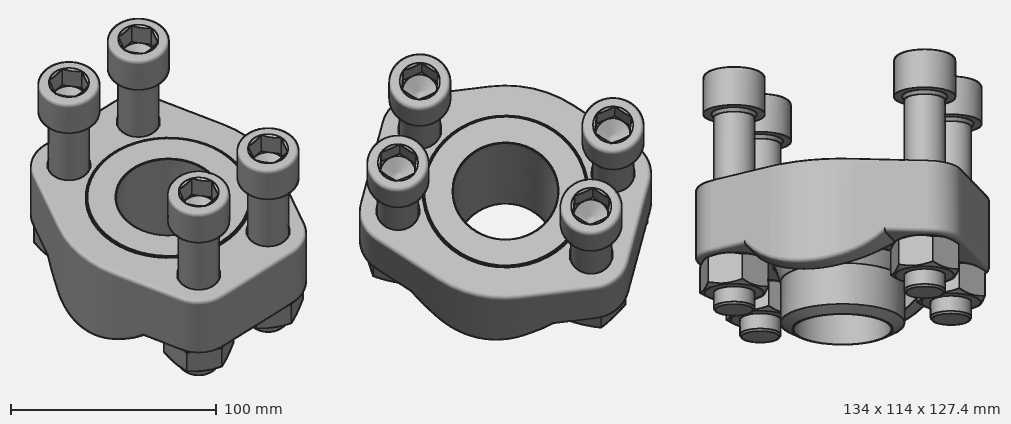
import cadquery as cq
import math


RIM_CHAMFER = 0.34

CHAMFER_SLOPE = math.tan(math.radians(30))

BOLT_X = 48.4
BOLT_Y = 22.2
BOLT_POSITIONS = [(sx * BOLT_X, sy * BOLT_Y) for sx in (-1, 1) for sy in (-1, 1)]

HALF_LENGTH = 67.0
WAIST_DIAMETER = 114.0
WAIST_RADIUS = WAIST_DIAMETER / 2
CORNER_RADIUS = HALF_LENGTH - BOLT_X
EAR_THICKNESS = 37.0
LOBE_DEPTH = 52.4
LOBE_RADIUS = 48.2
FLANGE_ROUND = 2.0
BOLT_HOLE_DIAMETER = 21.0
HEAD_SEAT_DIAMETER = 80.1
HEAD_SEAT_DEPTH = 12.7
NECK_HOLE_DIAMETER = 67.5
RECESS_DIAMETER = 90.9

SLEEVE_TOP = 0.5
HEAD_DIAMETER = 79.5
NECK_DIAMETER = 66.3
NECK_BOTTOM = -EAR_THICKNESS
TUBE_TOP = -45.3
TUBE_DIAMETER = 60.3
TUBE_BOTTOM = -69.4
BEVEL_HEIGHT = 3.2
BEVEL_INSET = 5.6
BORE_DIAMETER = 47.7
MOUTH_DIAMETER = 51.0
MOUTH_DEPTH = 6.0

SHANK_DIAMETER = 20.0
SHANK_LENGTH = 100.0
BOLT_HEAD_DIAMETER = 30.0
BOLT_HEAD_HEIGHT = 20.0
BOLT_HEAD_BOTTOM = 38.0
BOLT_HEAD_ROUND = 2.0
UNDERHEAD_WIDTH = 1.1
UNDERHEAD_HEIGHT = 1.9
TIP_DIAMETER = 18.4
TIP_HEIGHT = 1.1
SOCKET_CORNER_DIAMETER = 19.5
SOCKET_FLATS = SOCKET_CORNER_DIAMETER * math.cos(math.pi / 6)
SOCKET_DEPTH = 11.5
SOCKET_TURN_DEGREES = 39.0
DRILL_POINT_HEIGHT = 4.8

NUT_FLATS = 30.0
NUT_CORNERS = NUT_FLATS / math.cos(math.pi / 6)
NUT_HEIGHT = 16.2
NUT_FACE_DIAMETER = 28.5


def cylinder(diameter, bottom, top):
    return cq.Workplane("XY").workplane(offset=bottom).circle(diameter / 2).extrude(top - bottom)


def turned(points):
    """Revolve a closed (radius, height) outline about Z."""
    return cq.Workplane("XZ").polyline(points).close().revolve(360, (0, 0), (0, 1))


def flange_outline():
    """Waist circle and four corner circles joined by their outer tangents."""
    tangent_angle = math.atan2(BOLT_Y, BOLT_X) + math.acos(
        (WAIST_RADIUS - CORNER_RADIUS) / math.hypot(BOLT_X, BOLT_Y)
    )

    def corner_point(angle):
        return (BOLT_X + CORNER_RADIUS * math.cos(angle), BOLT_Y + CORNER_RADIUS * math.sin(angle))

    waist_x = WAIST_RADIUS * math.cos(tangent_angle)
    waist_y = WAIST_RADIUS * math.sin(tangent_angle)
    tangent_x, tangent_y = corner_point(tangent_angle)
    middle_x, middle_y = corner_point(tangent_angle / 2)
    return (
        cq.Workplane("XY")
        .moveTo(HALF_LENGTH, -BOLT_Y)
        .lineTo(HALF_LENGTH, BOLT_Y)
        .threePointArc((middle_x, middle_y), (tangent_x, tangent_y))
        .lineTo(waist_x, waist_y)
        .threePointArc((0, WAIST_RADIUS), (-waist_x, waist_y))
        .lineTo(-tangent_x, tangent_y)
        .threePointArc((-middle_x, middle_y), (-HALF_LENGTH, BOLT_Y))
        .lineTo(-HALF_LENGTH, -BOLT_Y)
        .threePointArc((-middle_x, -middle_y), (-tangent_x, -tangent_y))
        .lineTo(-waist_x, -waist_y)
        .threePointArc((0, -WAIST_RADIUS), (waist_x, -waist_y))
        .lineTo(tangent_x, -tangent_y)
        .threePointArc((middle_x, -middle_y), (HALF_LENGTH, -BOLT_Y))
        .close()
    )


def ear_and_lobe_block():
    """Flat ears with a round lobe hanging between them, extruded along Y."""
    lobe_drop = LOBE_DEPTH - EAR_THICKNESS
    lobe_half_width = math.sqrt(lobe_drop * (2 * LOBE_RADIUS - lobe_drop))
    return (
        cq.Workplane("XZ")
        .moveTo(-HALF_LENGTH, 0)
        .lineTo(-HALF_LENGTH, -EAR_THICKNESS)
        .lineTo(-lobe_half_width, -EAR_THICKNESS)
        .threePointArc((0, -LOBE_DEPTH), (lobe_half_width, -EAR_THICKNESS))
        .lineTo(HALF_LENGTH, -EAR_THICKNESS)
        .lineTo(HALF_LENGTH, 0)
        .close()
        .extrude(HALF_LENGTH, both=True)
    )


def make_flange():
    """Flange with bolt holes, a seat for the sleeve head and a round recess inside the lobes."""
    blank = flange_outline().extrude(-LOBE_DEPTH).intersect(ear_and_lobe_block())
    blank = blank.edges("not(|Y or |Z)").fillet(FLANGE_ROUND)
    seat_radius = HEAD_SEAT_DIAMETER / 2
    neck_radius = NECK_HOLE_DIAMETER / 2
    stepped_bore = turned(
        [
            (0, 0),
            (seat_radius + RIM_CHAMFER, 0),
            (seat_radius, -RIM_CHAMFER),
            (seat_radius, -HEAD_SEAT_DEPTH),
            (neck_radius, -HEAD_SEAT_DEPTH),
            (neck_radius, -EAR_THICKNESS),
            (RECESS_DIAMETER / 2, -EAR_THICKNESS),
            (RECESS_DIAMETER / 2, -LOBE_DEPTH),
            (0, -LOBE_DEPTH),
        ]
    )
    blank = blank.cut(stepped_bore)
    for x, y in BOLT_POSITIONS:
        blank = blank.cut(cylinder(BOLT_HOLE_DIAMETER, -EAR_THICKNESS, 0).translate((x, y, 0)))
    return blank


def make_sleeve():
    """Headed sleeve with a tapered bore and a bevelled lower end."""
    taper_top = SLEEVE_TOP - MOUTH_DEPTH
    return turned(
        [
            (MOUTH_DIAMETER / 2, SLEEVE_TOP - RIM_CHAMFER),
            (MOUTH_DIAMETER / 2 + RIM_CHAMFER, SLEEVE_TOP),
            (HEAD_DIAMETER / 2 - RIM_CHAMFER, SLEEVE_TOP),
            (HEAD_DIAMETER / 2, SLEEVE_TOP - RIM_CHAMFER),
            (HEAD_DIAMETER / 2, -HEAD_SEAT_DEPTH),
            (NECK_DIAMETER / 2, -HEAD_SEAT_DEPTH),
            (NECK_DIAMETER / 2, NECK_BOTTOM),
            (TUBE_DIAMETER / 2, TUBE_TOP),
            (TUBE_DIAMETER / 2, TUBE_BOTTOM + BEVEL_HEIGHT),
            (TUBE_DIAMETER / 2 - BEVEL_INSET, TUBE_BOTTOM),
            (BORE_DIAMETER / 2, TUBE_BOTTOM),
            (MOUTH_DIAMETER / 2, taper_top),
        ]
    )


def make_bolt():
    """Socket head bolt centred on the Z axis."""
    head_top = BOLT_HEAD_BOTTOM + BOLT_HEAD_HEIGHT
    tip = BOLT_HEAD_BOTTOM - SHANK_LENGTH
    shank_radius = SHANK_DIAMETER / 2
    head = cylinder(BOLT_HEAD_DIAMETER, BOLT_HEAD_BOTTOM, head_top)
    head = head.faces(">Z").edges().fillet(BOLT_HEAD_ROUND)
    shank = turned(
        [
            (0, tip),
            (TIP_DIAMETER / 2, tip),
            (shank_radius, tip + TIP_HEIGHT),
            (shank_radius, BOLT_HEAD_BOTTOM - UNDERHEAD_HEIGHT),
            (shank_radius + UNDERHEAD_WIDTH, BOLT_HEAD_BOTTOM),
            (0, BOLT_HEAD_BOTTOM),
        ]
    )
    socket_floor = head_top - SOCKET_DEPTH
    socket = (
        cq.Workplane("XY")
        .workplane(offset=socket_floor)
        .polygon(6, SOCKET_CORNER_DIAMETER)
        .extrude(SOCKET_DEPTH)
        .rotate((0, 0, 0), (0, 0, 1), SOCKET_TURN_DEGREES)
    )
    drill_point = turned(
        [(0, socket_floor), (SOCKET_FLATS / 2, socket_floor), (0, socket_floor - DRILL_POINT_HEIGHT)]
    )
    lead_in_rim = SOCKET_CORNER_DIAMETER / 2
    lead_in_height = (lead_in_rim - SOCKET_FLATS / 2) * CHAMFER_SLOPE
    lead_in = turned(
        [
            (0, head_top),
            (lead_in_rim, head_top),
            (SOCKET_FLATS / 2, head_top - lead_in_height),
            (0, head_top - lead_in_height),
        ]
    )
    return head.union(shank).cut(socket).cut(drill_point).cut(lead_in)


def make_nut():
    """Hexagon nut under the ears, chamfered on both faces and centred on the Z axis."""
    top = -EAR_THICKNESS
    bottom = top - NUT_HEIGHT
    corner_radius = NUT_CORNERS / 2
    chamfer_height = (corner_radius - NUT_FACE_DIAMETER / 2) * CHAMFER_SLOPE
    hexagon = cq.Workplane("XY").workplane(offset=bottom).polygon(6, NUT_CORNERS).extrude(NUT_HEIGHT)
    envelope = turned(
        [
            (0, bottom),
            (NUT_FACE_DIAMETER / 2, bottom),
            (corner_radius, bottom + chamfer_height),
            (corner_radius, top - chamfer_height),
            (NUT_FACE_DIAMETER / 2, top),
            (0, top),
        ]
    )
    return hexagon.intersect(envelope).cut(cylinder(SHANK_DIAMETER, bottom, top))


flange = make_flange()
sleeve = make_sleeve()
bolts = [make_bolt().translate((x, y, 0)) for x, y in BOLT_POSITIONS]
nuts = [make_nut().translate((x, y, 0)) for x, y in BOLT_POSITIONS]

result = cq.Compound.makeCompound(
    [flange.val(), sleeve.val(), *[bolt.val() for bolt in bolts], *[nut.val() for nut in nuts]]
)